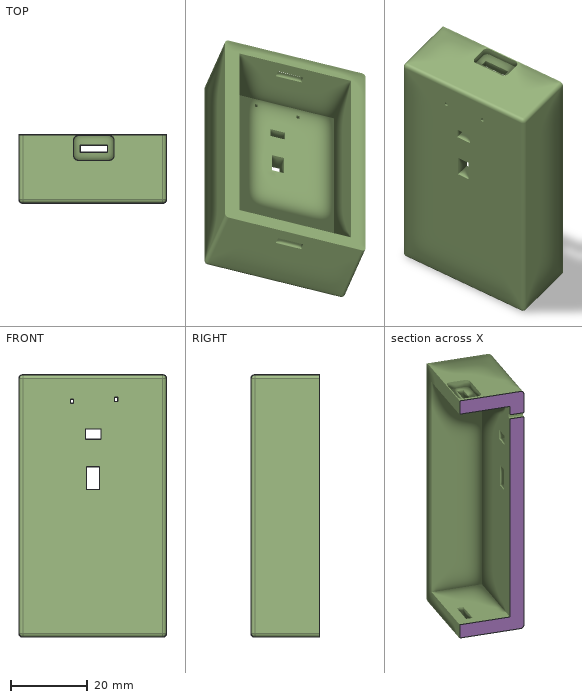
import cadquery as cq

WIDTH = 38.65
DEPTH = 18.0
HEIGHT = 68.65
WALL = 4.0
EDGE_RADIUS = 1.0
FRONT_Y = -DEPTH / 2
RIM_Y = DEPTH / 2

PORT_X = 0.3
SLOT_FROM_RIM = 3.7
RECESS_FROM_RIM = 3.5
SLOT_WIDTH = 7.1
SLOT_DEPTH = 1.8
RECESS_WIDTH = 10.6
RECESS_BREADTH = 6.45
RECESS_SINK = 2.0
RECESS_CORNER_RADIUS = 1.25

OPENINGS = [
    (0.15, 18.8, 4.0, 2.6),
    (0.1, 7.3, 3.3, 5.85),
    (-5.4, 27.4, 0.75, 1.0),
    (6.1, 27.9, 0.75, 1.0),
]


def make_tray():
    """Box rounded on every edge except the rim, hollowed from the rim side."""
    block = cq.Workplane("XY").box(WIDTH, DEPTH, HEIGHT)
    rounded = block.edges("|Y or <Y").fillet(EDGE_RADIUS)
    cavity = (
        cq.Workplane("XY")
        .box(WIDTH - 2 * WALL, DEPTH - WALL, HEIGHT - 2 * WALL)
        .translate((0, WALL / 2, 0))
    )
    return rounded.cut(cavity)


def make_front_openings():
    """Rectangular openings passing through the front wall."""
    cutters = cq.Workplane("XY")
    for x, z, width, height in OPENINGS:
        opening = cq.Workplane("XY").box(width, WALL, height)
        cutters = cutters.add(opening.translate((x, FRONT_Y + WALL / 2, z)))
    return cutters.combine()


def make_port():
    """Slot through both end walls and the plug recess sunk into the top."""
    slot = (
        cq.Workplane("XY")
        .box(SLOT_WIDTH, SLOT_DEPTH, HEIGHT)
        .translate((PORT_X, RIM_Y - SLOT_FROM_RIM, 0))
    )
    recess = (
        cq.Workplane("XY")
        .box(RECESS_WIDTH, RECESS_BREADTH, RECESS_SINK)
        .edges("|Z")
        .fillet(RECESS_CORNER_RADIUS)
        .translate((PORT_X, RIM_Y - RECESS_FROM_RIM, (HEIGHT - RECESS_SINK) / 2))
    )
    return slot.union(recess)


result = make_tray().cut(make_front_openings()).cut(make_port())